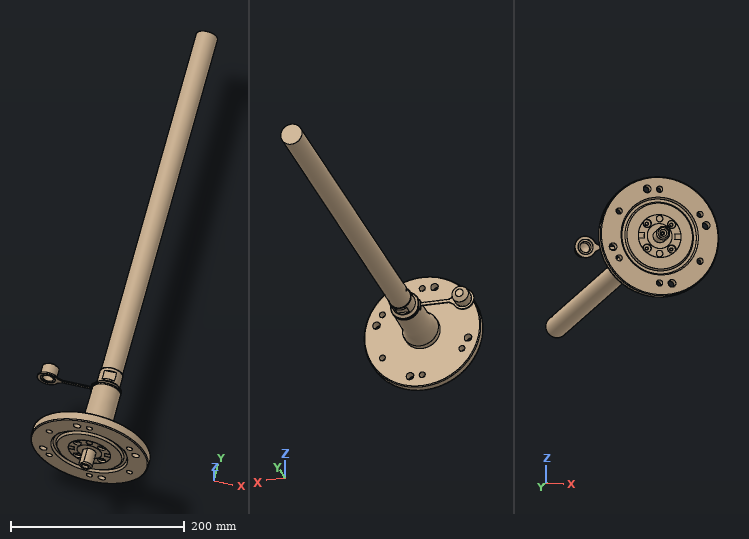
import cadquery as cq
import math


TOTAL_LENGTH = 586.5
SHAFT_LENGTH = 20.0
TUBE_END = TOTAL_LENGTH - SHAFT_LENGTH

FLANGE_RADIUS = 70.1
FLANGE_THICKNESS = 12.0
FLANGE_CHAMFER = 1.0
SMALL_HOLES = (6, 55.0, 3.5, 30)
LARGE_HOLES = (4, 57.0, 4.4, 15)
GROOVE_OUTER_RADIUS = 46.0
GROOVE_INNER_RADIUS = 39.0
GROOVE_DEPTH = 3.0
GROOVE_TAPER = 2.0

RECESS_RADIUS = 25.0
RECESS_DEPTH = 0.3
HUB_RADIUS = 14.5
MARK_CIRCLE_RADIUS = 20.5
DIMPLE_RADIUS = 3.8
NOTCH_INNER = 18.0
NOTCH_WIDTH = 6.5
MARK_DEPTH = 0.3
SCREW_SEAT_RADIUS = 4.5
SCREW_SEAT_DEPTH = 3.0
SCREW_SOCKET_RADIUS = 2.0
SCREW_SOCKET_DEPTH = 5.0

SHAFT_RADIUS = 7.9
SHAFT_FLAT_DISTANCE = 7.0
SHAFT_FLAT_ANGLE = 133
SHAFT_CHAMFER = 2.0
CENTRE_HOLE_RADIUS = 2.0
CENTRE_HOLE_DEPTH = 6.0
COUNTERSINK_RADIUS = 4.0

BASE_RADIUS = 21.5
BASE_END = 19.5
FLARE_RADIUS = 20.5
FLARE_START = 23.0
NECK_START = 39.0
NECK_RADIUS = 17.5
NECK_END = 75.5
RIM_RADIUS = 17.0
RIM_END = 86.0
COLLAR_START = 89.0
COLLAR_RADIUS = 13.8
COLLAR_END = 107.0
TUBE_RADIUS = 13.0
FLAT_START = 91.5
FLAT_END = 102.5
FLAT_DISTANCE = 12.0
PIN_HOLE_Y = 124.5
PIN_HOLE_RADIUS = 0.9
PIN_HOLE_DEPTH = 3.0

CAP_X = -70.0
CAP_RIM_RADIUS = 12.6
CAP_RADIUS = 10.0
CAP_BEVEL_START = 97.5
CAP_TOP = 101.0
CAP_TOP_RADIUS = 4.5
CAP_BORE_RADIUS = 6.5
CAP_MOUTH_RADIUS = 9.0
CAP_MOUTH_DEPTH = 1.0
CAP_BORE_END = 91.5
CAP_BORE_TIP = 94.5
STRAP_START = 82.0
STRAP_THICKNESS = 2.0
STRAP_WIDTH = 3.5
STRAP_RING_RADIUS = 17.3
STRAP_FLARE_LENGTH = 4.5
STRAP_FLARE_WIDTH = 10.5
LUG_REACH = 18.0
LUG_WIDTH = 10.5
LUG_CHAMFER = 1.0
LUG_START = 79.0
LUG_END = 87.0


def disc(radius, start, end, x=0, z=0):
    """Cylinder along Y from start to end."""
    return cq.Workplane("XZ", origin=(x, start, z)).circle(radius).extrude(start - end)


def block(x_range, y_range, z_range):
    """Box given by its limits along each axis."""
    ranges = (x_range, y_range, z_range)
    sizes = [high - low for low, high in ranges]
    centre = tuple((low + high) / 2 for low, high in ranges)
    return cq.Workplane("XY").box(*sizes).translate(centre)


def revolve_about_y(points):
    """Solid of revolution about the Y axis from (radius, y) points."""
    return cq.Workplane("XY").polyline(points).close().revolve(360, (0, 0, 0), (0, 1, 0))


def ring_positions(count, circle_radius, first_angle):
    """Evenly spaced (x, z) places on a circle about the Y axis."""
    angles = [math.radians(first_angle + 360 * i / count) for i in range(count)]
    return [(circle_radius * math.cos(a), circle_radius * math.sin(a)) for a in angles]


def make_flange():
    flange = disc(FLANGE_RADIUS, 0, FLANGE_THICKNESS).edges().chamfer(FLANGE_CHAMFER)
    for count, circle_radius, hole_radius, first_angle in (SMALL_HOLES, LARGE_HOLES):
        for x, z in ring_positions(count, circle_radius, first_angle):
            flange = flange.cut(disc(hole_radius, 0, FLANGE_THICKNESS, x, z))
    groove = revolve_about_y([
        (GROOVE_INNER_RADIUS, 0),
        (GROOVE_OUTER_RADIUS, 0),
        (GROOVE_OUTER_RADIUS - GROOVE_TAPER, GROOVE_DEPTH),
        (GROOVE_INNER_RADIUS + GROOVE_TAPER, GROOVE_DEPTH),
    ])
    return flange.cut(groove)


def cut_flange_centre(body):
    """Shallow recess around a hub, with screws, dimples and key notches."""
    recess = disc(RECESS_RADIUS, 0, RECESS_DEPTH).cut(disc(HUB_RADIUS, 0, RECESS_DEPTH))
    body = body.cut(recess)
    mark_end = RECESS_DEPTH + MARK_DEPTH
    for x, z in ring_positions(2, MARK_CIRCLE_RADIUS, 90):
        body = body.cut(disc(DIMPLE_RADIUS, 0, mark_end, x, z))
    half_notch = NOTCH_WIDTH / 2
    notches = block((-RECESS_RADIUS, RECESS_RADIUS), (0, mark_end), (-half_notch, half_notch))
    notches = notches.intersect(disc(RECESS_RADIUS, 0, mark_end)).cut(disc(NOTCH_INNER, 0, mark_end))
    body = body.cut(notches)
    for x, z in ring_positions(4, MARK_CIRCLE_RADIUS, 45):
        body = body.cut(disc(SCREW_SEAT_RADIUS, 0, SCREW_SEAT_DEPTH, x, z))
        body = body.cut(disc(SCREW_SOCKET_RADIUS, 0, SCREW_SOCKET_DEPTH, x, z))
    return body


def make_shaft():
    """Chamfered D-shaped stub with a countersunk centre hole in its end."""
    shaft = disc(SHAFT_RADIUS, -SHAFT_LENGTH, FLANGE_THICKNESS)
    shaft = shaft.faces("<Y").chamfer(SHAFT_CHAMFER)
    beyond_flat = block(
        (SHAFT_FLAT_DISTANCE, 2 * SHAFT_RADIUS), (-SHAFT_LENGTH, 0), (-SHAFT_RADIUS, SHAFT_RADIUS)
    )
    shaft = shaft.cut(beyond_flat.rotate((0, 0, 0), (0, 1, 0), -SHAFT_FLAT_ANGLE))
    countersink_depth = COUNTERSINK_RADIUS - CENTRE_HOLE_RADIUS
    centre_hole = revolve_about_y([
        (0, -SHAFT_LENGTH),
        (COUNTERSINK_RADIUS, -SHAFT_LENGTH),
        (CENTRE_HOLE_RADIUS, countersink_depth - SHAFT_LENGTH),
        (CENTRE_HOLE_RADIUS, CENTRE_HOLE_DEPTH - SHAFT_LENGTH),
        (0, CENTRE_HOLE_DEPTH - SHAFT_LENGTH),
    ])
    return shaft.cut(centre_hole)


def make_housing_and_tube():
    flare_rise = FLARE_RADIUS - NECK_RADIUS
    flare_length = NECK_START - FLARE_START
    flare_arc_radius = (flare_length**2 + flare_rise**2) / (2 * flare_rise)
    middle = math.asin(flare_length / flare_arc_radius) / 2
    flare_middle = (
        NECK_RADIUS + flare_arc_radius * (1 - math.cos(middle)),
        NECK_START - flare_arc_radius * math.sin(middle),
    )
    body = (
        cq.Workplane("XY")
        .moveTo(0, FLANGE_THICKNESS)
        .lineTo(BASE_RADIUS, FLANGE_THICKNESS)
        .lineTo(BASE_RADIUS, BASE_END)
        .lineTo(FLARE_RADIUS, FLARE_START)
        .threePointArc(flare_middle, (NECK_RADIUS, NECK_START))
        .lineTo(RIM_RADIUS, NECK_END)
        .lineTo(RIM_RADIUS, RIM_END)
        .lineTo(COLLAR_RADIUS, COLLAR_START)
        .lineTo(COLLAR_RADIUS, COLLAR_END)
        .lineTo(TUBE_RADIUS, COLLAR_END)
        .lineTo(TUBE_RADIUS, TUBE_END)
        .lineTo(0, TUBE_END)
        .close()
        .revolve(360, (0, 0, 0), (0, 1, 0))
    )
    for side in (0, 180):
        cutter = block(
            (-COLLAR_RADIUS, COLLAR_RADIUS), (FLAT_START, FLAT_END), (FLAT_DISTANCE, 2 * FLAT_DISTANCE)
        )
        body = body.cut(cutter.rotate((0, 0, 0), (0, 1, 0), side))
    pin_hole = cq.Workplane("YZ", origin=(-TUBE_RADIUS, PIN_HOLE_Y, 0)).circle(PIN_HOLE_RADIUS)
    return body.cut(pin_hole.extrude(PIN_HOLE_DEPTH))


def make_tethered_cap():
    """Bevelled cap with a stepped, conical-bottomed bore, on a strap tied round the housing rim."""
    strap_end = STRAP_START + STRAP_THICKNESS
    outside = (
        cq.Workplane("XY")
        .moveTo(0, STRAP_START)
        .lineTo(CAP_RIM_RADIUS, STRAP_START)
        .lineTo(CAP_RIM_RADIUS, strap_end)
        .lineTo(CAP_RADIUS, strap_end)
        .lineTo(CAP_RADIUS, CAP_BEVEL_START)
        .lineTo(CAP_TOP_RADIUS, CAP_TOP)
        .lineTo(0, CAP_TOP)
        .close()
        .revolve(360, (0, 0, 0), (0, 1, 0))
    )
    mouth_end = STRAP_START + CAP_MOUTH_DEPTH
    bore = revolve_about_y([
        (0, STRAP_START),
        (CAP_MOUTH_RADIUS, STRAP_START),
        (CAP_MOUTH_RADIUS, mouth_end),
        (CAP_BORE_RADIUS, mouth_end),
        (CAP_BORE_RADIUS, CAP_BORE_END),
        (0, CAP_BORE_TIP),
    ])
    cap = outside.cut(bore).translate((CAP_X, 0, 0))

    flare_start = CAP_X + math.sqrt(CAP_RIM_RADIUS**2 - (STRAP_FLARE_WIDTH / 2) ** 2)
    flare_end = CAP_X + CAP_RIM_RADIUS + STRAP_FLARE_LENGTH
    half_profile = [
        (flare_start, STRAP_FLARE_WIDTH / 2),
        (flare_end, STRAP_WIDTH / 2),
        (-RIM_RADIUS, STRAP_WIDTH / 2),
    ]
    mirrored = [(x, -z) for x, z in reversed(half_profile)]
    strap = (
        cq.Workplane("XZ", origin=(0, STRAP_START, 0))
        .polyline(half_profile + mirrored)
        .close()
        .extrude(-STRAP_THICKNESS)
    )
    ring = disc(STRAP_RING_RADIUS, STRAP_START, strap_end)
    lug = block((-LUG_REACH, 0), (LUG_START, LUG_END), (-LUG_WIDTH / 2, LUG_WIDTH / 2))
    lug = lug.faces("<X").chamfer(LUG_CHAMFER)
    return cap.union(strap).union(ring).union(lug)


result = cut_flange_centre(make_flange().union(make_housing_and_tube()))
result = result.union(make_shaft()).union(make_tethered_cap())